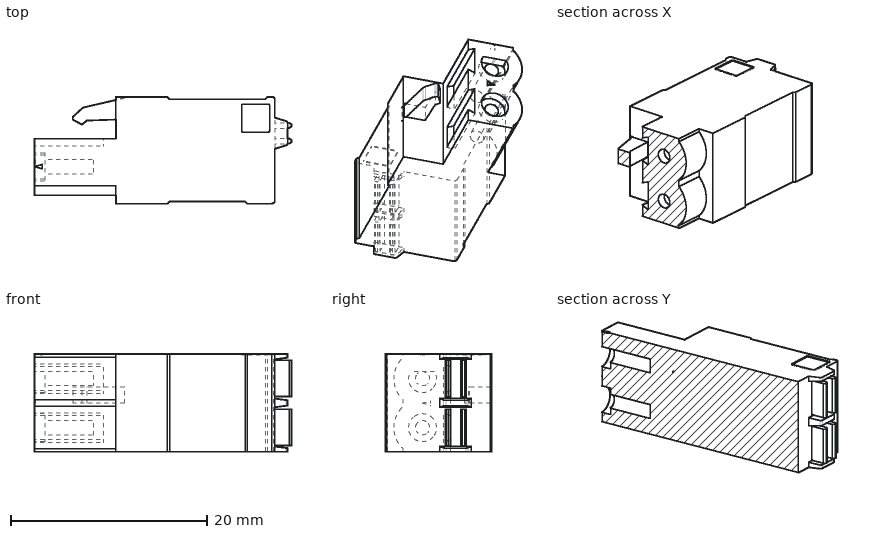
import cadquery as cq
import math


LENGTH = 26.2
WIDTH = 10.9
HEIGHT = 10.0
MID_HEIGHT = HEIGHT / 2

BODY_START = 8.3
BODY_END = 24.5
WAIST_DEPTH = 0.22
WAIST_START = 13.55
LOW_WAIST_END = 21.7
HIGH_WAIST_END = 23.75
LOW_END_CHAMFER = (0.3, 0.15)
HIGH_END_CHAMFER = 0.15

PITCH = 5.0
POLE_HEIGHTS = (MID_HEIGHT - PITCH / 2, MID_HEIGHT + PITCH / 2)
POLE_Y = 3.8
PLUG_TOP_Y = 6.65
PLUG_FLAT_Y = 1.83
LOBE_RADIUS = 2.93

ENTRY_DIAMETER = 2.85
ENTRY_DEPTH = 1.05
ENTRY_FLAT_OFFSET = 0.72
BORE_DIAMETER = 1.45
BORE_DEPTH = 6.0

GROOVE_LENGTH = 7.0
GROOVE_FLOOR_Y = 5.95
GROOVE_FLOOR_HALF = 1.5
GROOVE_MOUTH_HALF = 1.22

ARROW_LENGTH = 0.8
ARROW_HALF_WIDTH = 0.22
ARROW_DEPTH = 0.1

LATCH_BOTTOM = MID_HEIGHT
LATCH_THICKNESS = 1.65
LATCH_BACK_ROOT = (BODY_START, 10.6)
LATCH_SHOULDER = (4.95, 9.83)
LATCH_TIP_BACK = (3.9, 8.87)
LATCH_TIP_FRONT = (3.9, 8.58)
LATCH_BARB = (4.84, 8.07)
LATCH_BARB_HEEL = (5.33, 8.48)
LATCH_FRONT_ROOT = (BODY_START, 8.58)
LATCH_SHOULDER_RADIUS = 0.8
LATCH_TIP_RADIUS = 0.2
LATCH_GAP_Y = 10.8

MATING_Y = 7.2
RIB_ROOT_HALF_WIDTH = 1.6
RIB_TIP_HALF_WIDTH = 1.2
RIB_NOSE_RADIUS = 0.25
RIB_END = 25.8
RIB_ROOT_HALF_THICKNESS = 0.45
MARGIN_RIB_ROOT_THICKNESS = 0.57
RIB_TAPER = 0.17
BLADE_HEIGHT = 3.73
BLADE_THICKNESS = 0.57
BLADE_OFFSET = 0.8
BLADE_NOSE = (0.25, 0.18)

LABEL_SIZE = 2.84
LABEL_CENTER = (22.54, 8.74)
LABEL_DEPTH = 0.1
LABEL_CORNER_RADIUS = 0.12


def make_body():
    waist_top = WIDTH - WAIST_DEPTH
    low_dx, low_dy = LOW_END_CHAMFER
    outline = [
        (BODY_START, 0),
        (WAIST_START, 0),
        (WAIST_START + WAIST_DEPTH, WAIST_DEPTH),
        (LOW_WAIST_END - WAIST_DEPTH, WAIST_DEPTH),
        (LOW_WAIST_END, 0),
        (BODY_END - low_dx, 0),
        (BODY_END, low_dy),
        (BODY_END, WIDTH - HIGH_END_CHAMFER),
        (BODY_END - HIGH_END_CHAMFER, WIDTH),
        (HIGH_WAIST_END, WIDTH),
        (HIGH_WAIST_END - WAIST_DEPTH, waist_top),
        (WAIST_START + WAIST_DEPTH, waist_top),
        (WAIST_START, WIDTH),
        (BODY_START, WIDTH),
    ]
    return cq.Workplane("XY").polyline(outline).close().extrude(HEIGHT)


def make_plug():
    half_chord = math.sqrt(LOBE_RADIUS**2 - (POLE_Y - PLUG_FLAT_Y) ** 2)
    profile = cq.Workplane("YZ").moveTo(PLUG_TOP_Y, 0).lineTo(PLUG_FLAT_Y, 0)
    for z in POLE_HEIGHTS:
        crown = (POLE_Y - LOBE_RADIUS, z)
        profile = profile.lineTo(PLUG_FLAT_Y, z - half_chord)
        profile = profile.threePointArc(crown, (PLUG_FLAT_Y, z + half_chord))
    profile = profile.lineTo(PLUG_FLAT_Y, HEIGHT).lineTo(PLUG_TOP_Y, HEIGHT).close()
    return profile.extrude(BODY_START)


def make_wire_entry(z, flat_top):
    entry = cq.Workplane("YZ").center(POLE_Y, z).circle(ENTRY_DIAMETER / 2).extrude(ENTRY_DEPTH)
    if flat_top:
        above_flat = cq.Workplane("XY").box(
            ENTRY_DEPTH, ENTRY_DIAMETER, ENTRY_DIAMETER, centered=(False, True, False)
        )
        entry = entry.cut(above_flat.translate((0, POLE_Y, z + ENTRY_FLAT_OFFSET)))
    bore = cq.Workplane("YZ").center(POLE_Y, z).circle(BORE_DIAMETER / 2).extrude(BORE_DEPTH)
    return entry.union(bore)


def make_groove(z):
    outline = [
        (GROOVE_FLOOR_Y, z - GROOVE_FLOOR_HALF),
        (PLUG_TOP_Y, z - GROOVE_MOUTH_HALF),
        (PLUG_TOP_Y, z + GROOVE_MOUTH_HALF),
        (GROOVE_FLOOR_Y, z + GROOVE_FLOOR_HALF),
    ]
    return cq.Workplane("YZ").polyline(outline).close().extrude(GROOVE_LENGTH)


def draw_arrow(workplane):
    tip = (0, 0)
    upper_corner = (ARROW_LENGTH, ARROW_HALF_WIDTH)
    lower_corner = (ARROW_LENGTH, -ARROW_HALF_WIDTH)
    return workplane.polyline([tip, upper_corner, lower_corner]).close()


def make_arrows():
    top_plane = cq.Workplane("XY", origin=(0, POLE_Y, HEIGHT))
    face_plane = cq.Workplane("YZ", origin=(0, POLE_Y, MID_HEIGHT))
    top_arrow = draw_arrow(top_plane).extrude(-ARROW_DEPTH)
    face_arrow = draw_arrow(face_plane).extrude(ARROW_DEPTH)
    return top_arrow.union(face_arrow)


def make_latch():
    outline = [
        LATCH_BACK_ROOT,
        LATCH_SHOULDER,
        LATCH_TIP_BACK,
        LATCH_TIP_FRONT,
        LATCH_BARB,
        LATCH_BARB_HEEL,
        LATCH_FRONT_ROOT,
    ]
    base = cq.Workplane("XY").workplane(offset=LATCH_BOTTOM)
    latch = base.polyline(outline).close().extrude(LATCH_THICKNESS)
    middle_z = LATCH_BOTTOM + LATCH_THICKNESS / 2
    for corner, radius in (
        (LATCH_SHOULDER, LATCH_SHOULDER_RADIUS),
        (LATCH_TIP_BACK, LATCH_TIP_RADIUS),
    ):
        nearest_edge = cq.selectors.NearestToPointSelector((*corner, middle_z))
        latch = latch.edges("|Z").edges(nearest_edge).fillet(radius)
    return latch


def make_latch_gap():
    """Wedge in the body between the latch back, carried on inwards, and the gap's outer wall."""
    root_x, root_y = LATCH_BACK_ROOT
    shoulder_x, shoulder_y = LATCH_SHOULDER
    back_slope = (root_y - shoulder_y) / (root_x - shoulder_x)
    inner_end = (root_x + (LATCH_GAP_Y - root_y) / back_slope, LATCH_GAP_Y)
    base = cq.Workplane("XY").workplane(offset=LATCH_BOTTOM)
    wedge = base.polyline([LATCH_BACK_ROOT, inner_end, (root_x, LATCH_GAP_Y)]).close()
    return wedge.extrude(LATCH_THICKNESS)


def make_ribs():
    plan = (
        cq.Workplane("XY")
        .polyline(
            [
                (BODY_END, MATING_Y - RIB_ROOT_HALF_WIDTH),
                (RIB_END, MATING_Y - RIB_TIP_HALF_WIDTH),
                (RIB_END, MATING_Y + RIB_TIP_HALF_WIDTH),
                (BODY_END, MATING_Y + RIB_ROOT_HALF_WIDTH),
            ]
        )
        .close()
        .extrude(HEIGHT)
        .faces(">X")
        .edges("|Z")
        .fillet(RIB_NOSE_RADIUS)
    )
    rib_zones = cq.Workplane("XZ")
    for z, root in (
        (0, MARGIN_RIB_ROOT_THICKNESS),
        (MID_HEIGHT, RIB_ROOT_HALF_THICKNESS),
        (HEIGHT, MARGIN_RIB_ROOT_THICKNESS),
    ):
        tip = root - RIB_TAPER
        side = [(BODY_END, z - root), (RIB_END, z - tip), (RIB_END, z + tip), (BODY_END, z + root)]
        rib_zones = rib_zones.polyline(side).close()
    return plan.intersect(rib_zones.extrude(-WIDTH))


def make_blade(y, z):
    nose_length, nose_inset = BLADE_NOSE
    half = BLADE_THICKNESS / 2
    outline = [
        (BODY_END, y - half),
        (LENGTH - nose_length, y - half),
        (LENGTH, y - half + nose_inset),
        (LENGTH, y + half - nose_inset),
        (LENGTH - nose_length, y + half),
        (BODY_END, y + half),
    ]
    base = cq.Workplane("XY").workplane(offset=z - BLADE_HEIGHT / 2)
    return base.polyline(outline).close().extrude(BLADE_HEIGHT)


def make_label_recess():
    recess = cq.Workplane("XY", origin=(*LABEL_CENTER, HEIGHT)).rect(LABEL_SIZE, LABEL_SIZE)
    return recess.extrude(-LABEL_DEPTH).edges("|Z").fillet(LABEL_CORNER_RADIUS)


result = make_body().union(make_plug()).union(make_ribs())
result = result.union(make_latch()).cut(make_latch_gap())

for pole_z in POLE_HEIGHTS:
    for side in (-1, 1):
        result = result.union(make_blade(MATING_Y + side * BLADE_OFFSET, pole_z))
    result = result.cut(make_wire_entry(pole_z, flat_top=pole_z > MID_HEIGHT))
    result = result.cut(make_groove(pole_z))

result = result.cut(make_arrows()).cut(make_label_recess())